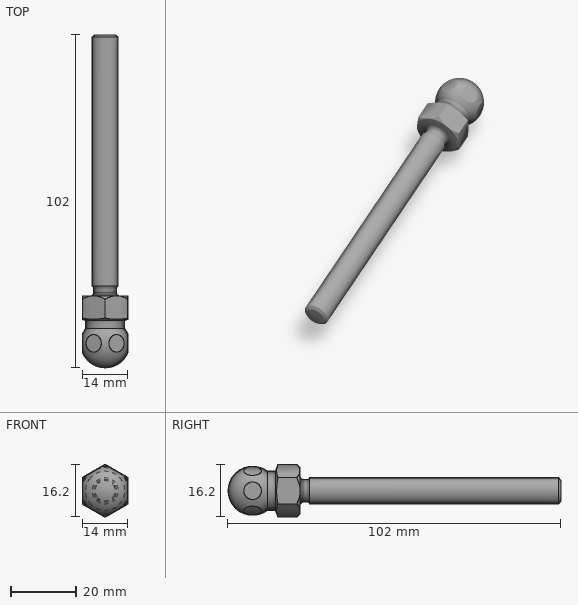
import cadquery as cq
import math

OVERALL_LENGTH = 102.0

BALL_RADIUS = 7.5
NECK_RADIUS = 6.0

HEX_SIDES = 6
ACROSS_FLATS = 14.0
HEX_START = 7.0
HEX_LENGTH = 7.5
HEX_CONE_ANGLE = 20.0
HEX_CORNER_CHAMFER = 1.0

UNDERCUT_RADIUS = 3.5
UNDERCUT_LENGTH = 3.0
UNDERCUT_HEX_FILLET = 1.0

SHANK_RADIUS = 4.0
TIP_CHAMFER_RADIAL = 0.9
TIP_CHAMFER_LENGTH = 0.75

HEX_END = HEX_START + HEX_LENGTH
SHANK_START = HEX_END + UNDERCUT_LENGTH
SHANK_END = OVERALL_LENGTH - BALL_RADIUS
UNDERCUT_SHANK_FILLET = SHANK_RADIUS - UNDERCUT_RADIUS
CORNER_RADIUS = ACROSS_FLATS / 2 / math.cos(math.pi / HEX_SIDES)


def turned_blank():
    """Revolved blank: ball, neck, collar with its end cones, undercut and shank."""
    neck_start = math.sqrt(BALL_RADIUS**2 - NECK_RADIUS**2)
    hex_cone_length = (CORNER_RADIUS - NECK_RADIUS) * math.tan(math.radians(HEX_CONE_ANGLE))
    arc_middle = 1 - math.sqrt(0.5)
    hex_fillet_inset = UNDERCUT_HEX_FILLET * arc_middle
    shank_fillet_inset = UNDERCUT_SHANK_FILLET * arc_middle
    profile = (
        cq.Workplane("XY")
        .moveTo(0, -BALL_RADIUS)
        .threePointArc((BALL_RADIUS, 0), (NECK_RADIUS, neck_start))
        .lineTo(NECK_RADIUS, HEX_START)
        .lineTo(CORNER_RADIUS, HEX_START + hex_cone_length)
        .lineTo(CORNER_RADIUS, HEX_END - HEX_CORNER_CHAMFER)
        .lineTo(CORNER_RADIUS - HEX_CORNER_CHAMFER, HEX_END)
        .lineTo(UNDERCUT_RADIUS + UNDERCUT_HEX_FILLET, HEX_END)
        .threePointArc(
            (UNDERCUT_RADIUS + hex_fillet_inset, HEX_END + hex_fillet_inset),
            (UNDERCUT_RADIUS, HEX_END + UNDERCUT_HEX_FILLET),
        )
        .lineTo(UNDERCUT_RADIUS, SHANK_START - UNDERCUT_SHANK_FILLET)
        .threePointArc(
            (UNDERCUT_RADIUS + shank_fillet_inset, SHANK_START - shank_fillet_inset),
            (SHANK_RADIUS, SHANK_START),
        )
        .lineTo(SHANK_RADIUS, SHANK_END - TIP_CHAMFER_LENGTH)
        .lineTo(SHANK_RADIUS - TIP_CHAMFER_RADIAL, SHANK_END)
        .lineTo(0, SHANK_END)
        .close()
    )
    return profile.revolve(360, (0, 0, 0), (0, 1, 0))


def hexagonal_bar():
    """Full-length hexagonal bar with two of its corners in the YZ plane."""
    return (
        cq.Workplane("XZ", origin=(0, -BALL_RADIUS, 0))
        .transformed(rotate=(0, 0, 90))
        .polygon(HEX_SIDES, 2 * CORNER_RADIUS)
        .extrude(-OVERALL_LENGTH)
    )


result = turned_blank().intersect(hexagonal_bar())